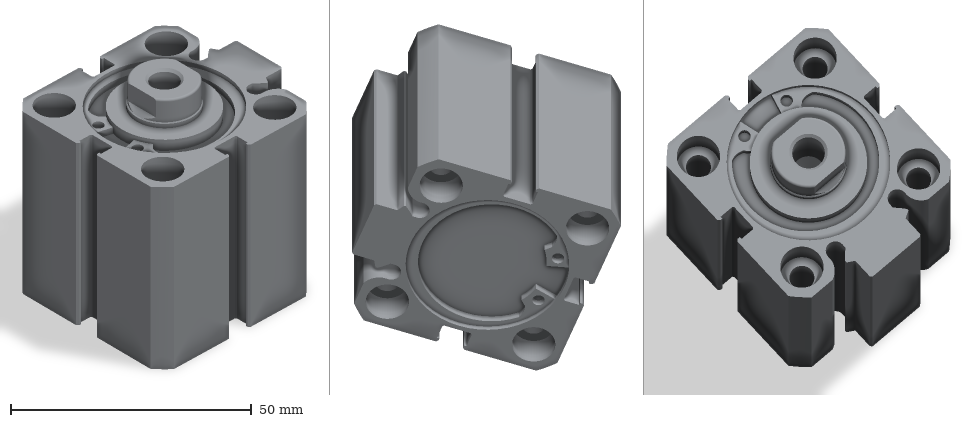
import cadquery as cq
import math

HOUSING_WIDTH = 45.0
HALF_WIDTH = HOUSING_WIDTH / 2
HOUSING_HEIGHT = 46.0
CORNER_RADIUS = 29.5
BORE_RADIUS = 17.0

BOLT_OFFSET = 16.2
BOLT_HOLE_DIAMETER = 5.2
COUNTERBORE_DIAMETER = 9.0
COUNTERBORE_DEPTH = 7.0

SLOT_FLOOR = 18.0
SLOT_HALF_WIDTH = 3.25
SLOT_MOUTH_HALF_WIDTH = 2.7
LIP_THICKNESS = 1.0
LIP_CHAMFER = 0.45
SLOT_FLOOR_CHAMFER = 0.3
SLOT_ANGLES = (0, 180, 270)

RAIL_TOP = 27.5
RAIL_HALF_WIDTH = 7.0
RAIL_TOP_CHAMFER = 0.4
BARB_HALF_WIDTH = 8.6
BARB_TOP = 21.6
BARB_BOTTOM = 21.2
BARB_ROOT_X = 7.6
BARB_ROOT_Y = 20.0
RELIEF_RADIUS = 2.0
RELIEF_X = 8.6
RELIEF_Y = 18.1
RELIEF_NECK_Y = 19.0
SHOULDER_MIDDLE = (11.3, 20.9)
SHOULDER_END_X = 13.3

GROOVE_WALL = 0.15
RING_RADIUS = SLOT_FLOOR - GROOVE_WALL
RING_INSET = 1.15
RING_THICKNESS = 1.65
RING_OPENING_TOP = 14.4
LUG_CLEARANCE = 0.1
LUG_SIDE_X = 7.0
LUG_OUTER_X = 8.2
LUG_OUTER_Y = 11.3
LUG_ROOT_X = 11.4
LUG_ROOT_Y = 11.15
LUG_BLEND_SAG = 0.35
GAP_HALF_ANGLE = 14.9
LUG_HOLE_X = 5.85
LUG_HOLE_Y = 13.45
LUG_HOLE_DIAMETER = 2.6

COVER_SEAT_DEPTH = RING_INSET + RING_THICKNESS
COVER_BOSS_RADIUS = 12.2
FRONT_FLANGE_THICKNESS = 10.0
REAR_COVER_THICKNESS = 6.0

ROD_RADIUS = 8.0
ROD_TOP = HOUSING_HEIGHT + 7.0
ROD_SHOULDER_HEIGHT = 1.3
ROD_SHOULDER_CHAMFER = 0.2
ROD_TIP_RADIUS = 7.7
ROD_TIP_FILLET = 0.5
FLAT_HALF_WIDTH = 6.5
FLAT_BOTTOM_HEIGHT = 2.4
TAP_RADIUS = 3.4
TAP_MOUTH_RADIUS = 4.0
TAP_DEPTH = 13.0
DRILL_POINT_ANGLE = 118.0

REAR_COVER_TOP = COVER_SEAT_DEPTH + REAR_COVER_THICKNESS


def cylinder(radius, bottom, top):
    return cq.Workplane("XY").workplane(offset=bottom).circle(radius).extrude(top - bottom)


def housing_block():
    block = cq.Workplane("XY").rect(HOUSING_WIDTH, HOUSING_WIDTH).extrude(HOUSING_HEIGHT)
    return block.intersect(cylinder(CORNER_RADIUS, 0, HOUSING_HEIGHT))


def rail():
    """Rail standing on the +Y side, between the two relief openings."""
    half = [
        (RAIL_HALF_WIDTH - RAIL_TOP_CHAMFER, RAIL_TOP),
        (RAIL_HALF_WIDTH, RAIL_TOP - RAIL_TOP_CHAMFER),
        (RAIL_HALF_WIDTH, HALF_WIDTH),
        (BARB_HALF_WIDTH, BARB_TOP),
        (BARB_HALF_WIDTH, BARB_BOTTOM),
        (BARB_ROOT_X, BARB_ROOT_Y),
        (RELIEF_X - RELIEF_RADIUS, RELIEF_NECK_Y),
        (RELIEF_X - RELIEF_RADIUS, RELIEF_Y),
    ]
    mirrored = [(-x, y) for x, y in reversed(half)]
    return cq.Workplane("XY").polyline(half + mirrored).close().extrude(HOUSING_HEIGHT)


def rail_opening():
    """Opening cut from the +Y face: round groove bottoms and curved shoulders."""
    inner_x = RELIEF_X - RELIEF_RADIUS
    outer_x = RELIEF_X + RELIEF_RADIUS
    return (
        cq.Workplane("XY")
        .moveTo(-inner_x, RELIEF_Y)
        .lineTo(inner_x, RELIEF_Y)
        .threePointArc((RELIEF_X, RELIEF_Y - RELIEF_RADIUS), (outer_x, RELIEF_Y))
        .lineTo(outer_x, RELIEF_NECK_Y)
        .threePointArc(SHOULDER_MIDDLE, (SHOULDER_END_X, HALF_WIDTH))
        .lineTo(-SHOULDER_END_X, HALF_WIDTH)
        .threePointArc((-SHOULDER_MIDDLE[0], SHOULDER_MIDDLE[1]), (-outer_x, RELIEF_NECK_Y))
        .lineTo(-outer_x, RELIEF_Y)
        .threePointArc((-RELIEF_X, RELIEF_Y - RELIEF_RADIUS), (-inner_x, RELIEF_Y))
        .close()
        .extrude(HOUSING_HEIGHT)
    )


def slot(angle):
    """Lipped slot opening toward +X, turned about the axis."""
    lip_inside = HALF_WIDTH - LIP_THICKNESS
    half = [
        (SLOT_FLOOR, SLOT_HALF_WIDTH - SLOT_FLOOR_CHAMFER),
        (SLOT_FLOOR + SLOT_FLOOR_CHAMFER, SLOT_HALF_WIDTH),
        (lip_inside, SLOT_HALF_WIDTH),
        (lip_inside, SLOT_MOUTH_HALF_WIDTH),
        (HALF_WIDTH - LIP_CHAMFER, SLOT_MOUTH_HALF_WIDTH),
        (HALF_WIDTH, SLOT_MOUTH_HALF_WIDTH + LIP_CHAMFER),
    ]
    mirrored = [(x, -y) for x, y in reversed(half)]
    cutter = cq.Workplane("XY").polyline(half + mirrored).close().extrude(HOUSING_HEIGHT)
    return cutter.rotate((0, 0, 0), (0, 0, 1), angle)


def bolt_hole(x, y):
    """Through hole with a counterbore at both ends."""
    hole = cylinder(BOLT_HOLE_DIAMETER / 2, 0, HOUSING_HEIGHT)
    lower = cylinder(COUNTERBORE_DIAMETER / 2, 0, COUNTERBORE_DEPTH)
    upper = cylinder(COUNTERBORE_DIAMETER / 2, HOUSING_HEIGHT - COUNTERBORE_DEPTH, HOUSING_HEIGHT)
    return hole.union(lower).union(upper).translate((x, y, 0))


def make_housing():
    body = housing_block().cut(rail_opening()).union(rail())
    for angle in SLOT_ANGLES:
        body = body.cut(slot(angle))
    for x in (-BOLT_OFFSET, BOLT_OFFSET):
        for y in (-BOLT_OFFSET, BOLT_OFFSET):
            body = body.cut(bolt_hole(x, y))
    body = body.cut(cylinder(BORE_RADIUS, 0, HOUSING_HEIGHT))
    for bottom in (RING_INSET, HOUSING_HEIGHT - COVER_SEAT_DEPTH):
        body = body.cut(cylinder(RING_RADIUS, bottom, bottom + RING_THICKNESS))
    return body


def ring_opening():
    """Eccentric opening of the ring, closed at the bottom by the two lugs."""
    lug_radius = COVER_BOSS_RADIUS + LUG_CLEARANCE
    lug_end_y = -math.sqrt(lug_radius**2 - LUG_SIDE_X**2)
    blend_x = (LUG_OUTER_X + LUG_ROOT_X) / 2
    blend_y = -(LUG_OUTER_Y + LUG_ROOT_Y) / 2 - LUG_BLEND_SAG
    return (
        cq.Workplane("XY")
        .moveTo(-LUG_SIDE_X, lug_end_y)
        .threePointArc((0, -lug_radius), (LUG_SIDE_X, lug_end_y))
        .lineTo(LUG_OUTER_X, -LUG_OUTER_Y)
        .threePointArc((blend_x, blend_y), (LUG_ROOT_X, -LUG_ROOT_Y))
        .threePointArc((0, RING_OPENING_TOP), (-LUG_ROOT_X, -LUG_ROOT_Y))
        .threePointArc((-blend_x, blend_y), (-LUG_OUTER_X, -LUG_OUTER_Y))
        .close()
        .extrude(RING_THICKNESS)
    )


def ring_gap():
    """Wedge between the two lugs, its sides radial to the axis."""
    reach_x = RING_RADIUS * math.tan(math.radians(GAP_HALF_ANGLE))
    wedge = [(0, 0), (-reach_x, -RING_RADIUS), (reach_x, -RING_RADIUS)]
    return cq.Workplane("XY").polyline(wedge).close().extrude(RING_THICKNESS)


def make_ring(bottom):
    ring = cylinder(RING_RADIUS, 0, RING_THICKNESS).cut(ring_opening()).cut(ring_gap())
    for x in (-LUG_HOLE_X, LUG_HOLE_X):
        hole = cylinder(LUG_HOLE_DIAMETER / 2, 0, RING_THICKNESS)
        ring = ring.cut(hole.translate((x, -LUG_HOLE_Y, 0)))
    return ring.translate((0, 0, bottom))


def make_front_cover():
    """Flange seated under the front ring, boss flush with the housing, bored for the rod."""
    flange_top = HOUSING_HEIGHT - COVER_SEAT_DEPTH
    flange_bottom = flange_top - FRONT_FLANGE_THICKNESS
    flange = cylinder(BORE_RADIUS, flange_bottom, flange_top)
    boss = cylinder(COVER_BOSS_RADIUS, flange_top, HOUSING_HEIGHT)
    return flange.union(boss).cut(cylinder(ROD_RADIUS, flange_bottom, HOUSING_HEIGHT))


def make_rear_cover():
    return cylinder(BORE_RADIUS, COVER_SEAT_DEPTH, REAR_COVER_TOP)


def tapped_hole():
    point_depth = TAP_RADIUS / math.tan(math.radians(DRILL_POINT_ANGLE / 2))
    mouth_depth = TAP_MOUTH_RADIUS - TAP_RADIUS
    profile = [
        (0, ROD_TOP),
        (TAP_MOUTH_RADIUS, ROD_TOP),
        (TAP_RADIUS, ROD_TOP - mouth_depth),
        (TAP_RADIUS, ROD_TOP - TAP_DEPTH),
        (0, ROD_TOP - TAP_DEPTH - point_depth),
    ]
    return cq.Workplane("XZ").polyline(profile).close().revolve(360, (0, 0, 0), (0, 1, 0))


def wrench_flat(side):
    """Flat facing +Y (side = 1) or -Y (side = -1), run out by a 45 degree slope."""
    flat_bottom = HOUSING_HEIGHT + FLAT_BOTTOM_HEIGHT
    run_out = ROD_TIP_RADIUS - FLAT_HALF_WIDTH
    profile = [
        (side * FLAT_HALF_WIDTH, ROD_TOP),
        (side * FLAT_HALF_WIDTH, flat_bottom),
        (side * ROD_TIP_RADIUS, flat_bottom - run_out),
        (side * ROD_RADIUS, flat_bottom - run_out),
        (side * ROD_RADIUS, ROD_TOP),
    ]
    return cq.Workplane("YZ").polyline(profile).close().extrude(ROD_RADIUS, both=True)


def make_rod():
    """Rod standing on the rear cover, with a reduced tip, two flats and a tapped hole."""
    shoulder = HOUSING_HEIGHT + ROD_SHOULDER_HEIGHT
    shaft = cylinder(ROD_RADIUS, REAR_COVER_TOP, shoulder).faces(">Z").chamfer(ROD_SHOULDER_CHAMFER)
    tip = cylinder(ROD_TIP_RADIUS, shoulder, ROD_TOP).faces(">Z").fillet(ROD_TIP_FILLET)
    rod = shaft.union(tip).cut(tapped_hole())
    for side in (-1, 1):
        rod = rod.cut(wrench_flat(side))
    return rod


housing = make_housing()
front_cover = make_front_cover()
rear_cover = make_rear_cover()
front_ring = make_ring(HOUSING_HEIGHT - COVER_SEAT_DEPTH)
rear_ring = make_ring(RING_INSET)
rod = make_rod()

result = cq.Compound.makeCompound([
    housing.val(),
    front_cover.val(),
    rear_cover.val(),
    front_ring.val(),
    rear_ring.val(),
    rod.val(),
])